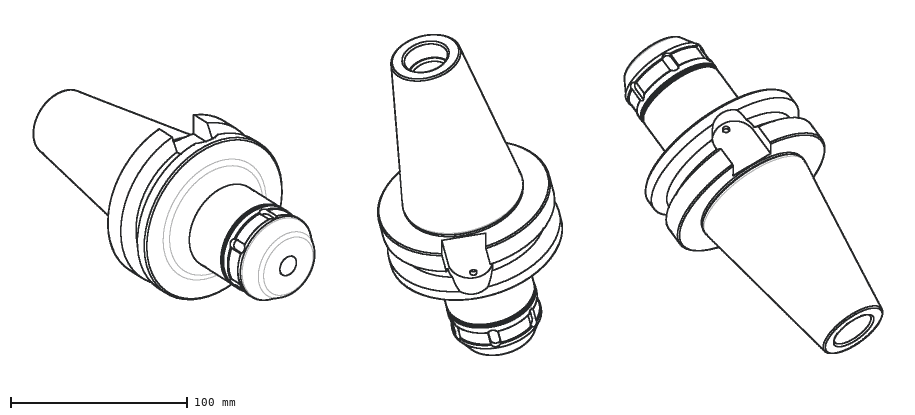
import cadquery as cq
import math

shank_length = 101.7
gauge_diameter = 70.0
taper_ratio = 7 / 24
shank_end_chamfer = 0.8
neck_diameter = 68.9
neck_start = 103.0

flange_diameter = 100.0
flange_start = 104.8
flange_end = 139.8
flange_front_chamfer = 0.8
flange_rear_chamfer = 1.0
groove_bottom_diameter = 85.0
groove_bottom_start = 121.8
groove_bottom_width = 6.5
groove_side_length = 4.3

body_diameter = 51.5
cone_end = 149.3
cone_fillet = 5.0
relief_start = 178.5
relief_diameter = 48.4
edge_chamfer = 0.6

nut_start = 179.7
nut_diameter = 52.0
band_diameter = 50.9
band_start = 184.7
band_width = 8.3
nose_start = 196.5
nose_tip_start = 205.1
nose_tip_diameter = 41.2
nose_tip_radius = 3.0
total_length = 206.8
front_face_diameter = 36.0

slot_count = 6
slot_length = 12.2
slot_width = 5.8
slot_floor_radius = 22.7

keyway_width = 25.5
keyway_end = 135.5
keyway_floor = 35.5

pin_hole_x = 131.5
pin_hole_diameter = 4.0
pin_hole_depth = 3.0

bore_mouth_diameter = 27.3
pilot_diameter = 25.0
pilot_depth = 11.2
thread_mouth_diameter = 24.0
thread_diameter = 21.3
thread_end = 49.6
drill_half_angle = 60
through_diameter = 12.0


def revolved(profile):
    """Solid of revolution about the X axis from a closed profile in the XZ plane."""
    return profile.revolve(360, (0, 0, 0), (1, 0, 0))


def turned(points):
    """Solid of revolution about the X axis; each point is (x, radius)."""
    return revolved(cq.Workplane("XZ").polyline(points).close())


def make_shank():
    gauge_radius = gauge_diameter / 2
    neck_radius = neck_diameter / 2
    small_radius = gauge_radius - shank_length * taper_ratio / 2
    chamfered_radius = small_radius + shank_end_chamfer * taper_ratio / 2
    return turned([
        (0, 0),
        (0, small_radius - shank_end_chamfer),
        (shank_end_chamfer, chamfered_radius),
        (shank_length, gauge_radius),
        (neck_start, gauge_radius),
        (neck_start + gauge_radius - neck_radius, neck_radius),
        (flange_start, neck_radius),
        (flange_start, 0),
    ])


def make_flange():
    rim_radius = flange_diameter / 2
    face_radius = rim_radius - flange_front_chamfer
    groove_radius = groove_bottom_diameter / 2
    groove_bottom_end = groove_bottom_start + groove_bottom_width
    return turned([
        (flange_start, 0),
        (flange_start, face_radius),
        (flange_start + flange_front_chamfer, rim_radius),
        (groove_bottom_start - groove_side_length, rim_radius),
        (groove_bottom_start, groove_radius),
        (groove_bottom_end, groove_radius),
        (groove_bottom_end + groove_side_length, rim_radius),
        (flange_end - flange_rear_chamfer, rim_radius),
        (flange_end, rim_radius - flange_rear_chamfer),
        (flange_end, 0),
    ])


def make_body():
    """Body with a 45 degree cone that blends into the flange face through a fillet."""
    body_radius = body_diameter / 2
    cone_base_radius = body_radius + cone_end - flange_end
    cone_angle = math.radians(45)
    tangent_length = cone_fillet * math.tan(cone_angle / 2)
    tangent_step = tangent_length * math.cos(cone_angle)
    profile = (
        cq.Workplane("XZ")
        .moveTo(flange_end, 0)
        .lineTo(flange_end, cone_base_radius + tangent_length)
        .radiusArc((flange_end + tangent_step, cone_base_radius - tangent_step), -cone_fillet)
        .lineTo(cone_end, body_radius)
        .lineTo(relief_start - edge_chamfer, body_radius)
        .lineTo(relief_start, body_radius - edge_chamfer)
        .lineTo(relief_start, relief_diameter / 2)
        .lineTo(nut_start, relief_diameter / 2)
        .lineTo(nut_start, 0)
        .close()
    )
    return revolved(profile)


def make_nut():
    """Nut with a recessed band and a conical nose that is rounded at its tip."""
    nut_radius = nut_diameter / 2
    band_radius = band_diameter / 2
    band_step = nut_radius - band_radius
    band_end = band_start + band_width
    profile = (
        cq.Workplane("XZ")
        .moveTo(nut_start, 0)
        .lineTo(nut_start, nut_radius - edge_chamfer)
        .lineTo(nut_start + edge_chamfer, nut_radius)
        .lineTo(band_start - band_step, nut_radius)
        .lineTo(band_start, band_radius)
        .lineTo(band_end, band_radius)
        .lineTo(band_end + band_step, nut_radius)
        .lineTo(nose_start - edge_chamfer, nut_radius)
        .lineTo(nose_start, nut_radius - edge_chamfer)
        .lineTo(nose_tip_start, nose_tip_diameter / 2)
        .radiusArc((total_length, front_face_diameter / 2), nose_tip_radius)
        .lineTo(total_length, 0)
        .close()
    )
    return revolved(profile)


def make_wrench_slots():
    slot_centre = band_start + band_width / 2
    slot = (
        cq.Workplane("XY", origin=(slot_centre, 0, slot_floor_radius))
        .slot2D(slot_length, slot_width)
        .extrude(nut_diameter)
    )
    slots = cq.Workplane("XY")
    for index in range(slot_count):
        slots = slots.add(slot.rotate((0, 0, 0), (1, 0, 0), index * 360 / slot_count))
    return slots.combine()


def keyway_floor_plane(x):
    return cq.Workplane("XY", origin=(x, 0, keyway_floor))


def make_keyway():
    """Round-ended keyway on the +Z side, with the blind hole in its floor."""
    arc_centre = keyway_end - keyway_width / 2
    open_length = arc_centre - neck_start
    straight = (
        keyway_floor_plane(arc_centre - open_length / 2)
        .rect(open_length, keyway_width)
        .extrude(flange_diameter)
    )
    round_end = keyway_floor_plane(arc_centre).circle(keyway_width / 2).extrude(flange_diameter)
    pin_hole = keyway_floor_plane(pin_hole_x).circle(pin_hole_diameter / 2).extrude(-pin_hole_depth)
    return straight.union(round_end).union(pin_hole)


def make_bore():
    mouth_radius = bore_mouth_diameter / 2
    pilot_radius = pilot_diameter / 2
    thread_radius = thread_diameter / 2
    thread_mouth_radius = thread_mouth_diameter / 2
    through_radius = through_diameter / 2
    thread_start = pilot_depth + thread_mouth_radius - thread_radius
    drill_point_length = (thread_radius - through_radius) / math.tan(math.radians(drill_half_angle))
    return turned([
        (0, 0),
        (0, mouth_radius),
        (mouth_radius - pilot_radius, pilot_radius),
        (pilot_depth, pilot_radius),
        (pilot_depth, thread_mouth_radius),
        (thread_start, thread_radius),
        (thread_end, thread_radius),
        (thread_end + drill_point_length, through_radius),
        (total_length, through_radius),
        (total_length, 0),
    ])


keyway = make_keyway()
result = (
    make_shank()
    .union(make_flange())
    .union(make_body())
    .union(make_nut())
    .cut(make_wrench_slots())
    .cut(keyway)
    .cut(keyway.mirror("XY"))
    .cut(make_bore())
)